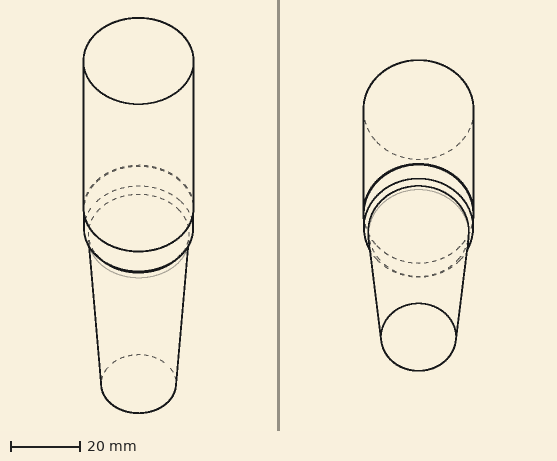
import cadquery as cq

total_length = 150.0
handle_diameter = 32.0
collar_diameter = 31.6
neck_diameter = 29.1
tip_diameter = 21.8

taper_top = 67.6
neck_top = 69.9
collar_bottom = 72.2
collar_top = 81.3
handle_bevel_height = 0.3

handle_bottom = collar_top + handle_bevel_height

half_section = (
    cq.Workplane("XZ")
    .moveTo(0, 0)
    .lineTo(tip_diameter / 2, 0)
    .lineTo(neck_diameter / 2, taper_top)
    .lineTo(neck_diameter / 2, neck_top)
    .lineTo(collar_diameter / 2, collar_bottom)
    .lineTo(collar_diameter / 2, collar_top)
    .lineTo(handle_diameter / 2, handle_bottom)
    .lineTo(handle_diameter / 2, total_length)
    .lineTo(0, total_length)
    .close()
)

result = half_section.revolve(360, (0, 0, 0), (0, 1, 0))